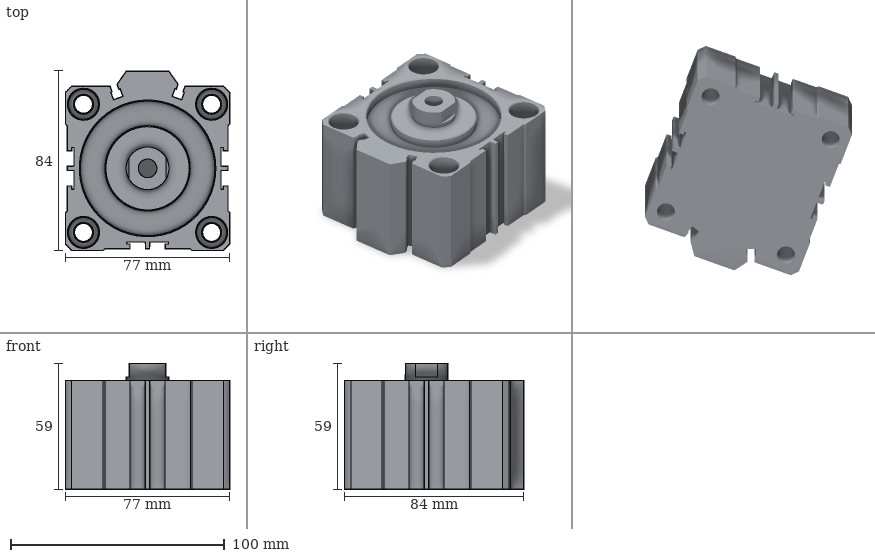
import cadquery as cq

housing_side = 77.0
housing_height = 51.0
corner_chamfer = 3.0
half_side = housing_side / 2

relief_depth = 0.8
relief_half_width = 20.0

slot_floor = 34.5
slot_half_width = 9.7
slot_mouth_half_width = 8.2
slot_lip_bottom = 35.4
rib_root_width = 2.2
rib_tip_width = 2.0

rail_top = 45.5
rail_top_half_width = 10.0
rail_base_half_width = 14.9

side_slot_tilt = 20.0
side_slot_floor_x = 13.75
side_slot_floor_y = 32.93
side_slot_width = 4.6
side_slot_undercut_height = 3.7
side_slot_mouth_width = 3.3
side_slot_cut_height = 8.0

mount_pitch = 60.0
mount_hole_diameter = 8.4
mount_bore_diameter = 14.0
mount_bore_depth = 10.0

recess_diameter = 63.0
recess_depth = 5.0
collar_diameter = 40.0
collar_top_drop = 0.5
edge_chamfer = 0.5

rod_diameter = 20.0
rod_projection = 8.0
rod_top = housing_height + rod_projection
rod_hole_diameter = 8.7
rod_hole_depth = 15.0
rod_solid_end = 5.0
rod_length = rod_hole_depth + rod_solid_end
rod_bottom = rod_top - rod_length
flat_width = 17.2
flat_length = 6.3


def cylinder(diameter, bottom, height):
    """Upright cylinder on the part's axis."""
    return cq.Workplane("XY").workplane(offset=bottom).circle(diameter / 2).extrude(height)


def top_chamfer_cone(diameter, top):
    """Cone that chamfers the upper edge of a hole of this diameter."""
    radius = diameter / 2
    return cq.Workplane(cq.Solid.makeCone(
        radius, radius + edge_chamfer, edge_chamfer, cq.Vector(0, 0, top - edge_chamfer)))


def face_slot():
    """Relief and ribbed T-slot to be cut from the -Y face."""
    relief_outer_half_width = relief_half_width + relief_depth
    relief = (
        cq.Workplane("XY")
        .polyline([
            (-relief_outer_half_width, -half_side),
            (relief_outer_half_width, -half_side),
            (relief_half_width, -half_side + relief_depth),
            (-relief_half_width, -half_side + relief_depth),
        ])
        .close()
        .extrude(housing_height)
    )
    mouth_depth = half_side - slot_floor
    mouth = (
        cq.Workplane("XY")
        .center(0, -half_side + mouth_depth / 2)
        .rect(2 * slot_mouth_half_width, mouth_depth)
        .extrude(housing_height)
    )
    undercut_depth = slot_lip_bottom - slot_floor
    undercut = (
        cq.Workplane("XY")
        .center(0, -slot_lip_bottom + undercut_depth / 2)
        .rect(2 * slot_half_width, undercut_depth)
        .extrude(housing_height)
    )
    rib_tip = half_side - relief_depth
    rib = (
        cq.Workplane("XY")
        .polyline([
            (-rib_root_width / 2, -slot_floor),
            (rib_root_width / 2, -slot_floor),
            (rib_tip_width / 2, -rib_tip),
            (-rib_tip_width / 2, -rib_tip),
        ])
        .close()
        .extrude(housing_height)
    )
    return mouth.union(undercut).cut(rib).union(relief)


def rail_side_slot():
    """Tilted T-slot on the -X side of the rail."""
    undercut = (
        cq.Workplane("XY")
        .center(0, side_slot_undercut_height / 2)
        .rect(side_slot_width, side_slot_undercut_height)
        .extrude(housing_height)
    )
    mouth = (
        cq.Workplane("XY")
        .center(0, side_slot_cut_height / 2)
        .rect(side_slot_mouth_width, side_slot_cut_height)
        .extrude(housing_height)
    )
    return (
        undercut.union(mouth)
        .rotate((0, 0, 0), (0, 0, 1), side_slot_tilt)
        .translate((-side_slot_floor_x, side_slot_floor_y, 0))
    )


def mounting_hole():
    """Through hole with a counterbore, both with a chamfered upper edge."""
    bore_bottom = housing_height - mount_bore_depth
    return (
        cylinder(mount_hole_diameter, 0, housing_height)
        .union(top_chamfer_cone(mount_hole_diameter, bore_bottom))
        .union(cylinder(mount_bore_diameter, bore_bottom, mount_bore_depth))
        .union(top_chamfer_cone(mount_bore_diameter, housing_height))
    )


def top_recess():
    """Ring-shaped recess left around the collar."""
    recess_floor = housing_height - recess_depth
    collar = (
        cylinder(collar_diameter, recess_floor, recess_depth - collar_top_drop)
        .faces(">Z")
        .chamfer(edge_chamfer)
    )
    return (
        cylinder(recess_diameter, recess_floor, recess_depth)
        .union(top_chamfer_cone(recess_diameter, housing_height))
        .cut(collar)
    )


def make_housing():
    body = (
        cq.Workplane("XY")
        .rect(housing_side, housing_side)
        .extrude(housing_height)
        .edges("|Z")
        .chamfer(corner_chamfer)
    )
    rail = (
        cq.Workplane("XY")
        .polyline([
            (-rail_base_half_width, half_side),
            (rail_base_half_width, half_side),
            (rail_top_half_width, rail_top),
            (-rail_top_half_width, rail_top),
        ])
        .close()
        .extrude(housing_height)
    )
    body = body.union(rail)

    for angle in (0, 90, -90):
        body = body.cut(face_slot().rotate((0, 0, 0), (0, 0, 1), angle))

    side_slot = rail_side_slot()
    body = body.cut(side_slot).cut(side_slot.mirror("YZ"))

    for x_sign in (-1, 1):
        for y_sign in (-1, 1):
            place = (x_sign * mount_pitch / 2, y_sign * mount_pitch / 2, 0)
            body = body.cut(mounting_hole().translate(place))

    rod_bore = cylinder(rod_diameter, rod_bottom, rod_length)
    return body.cut(top_recess()).cut(rod_bore)


def make_rod():
    rod = cylinder(rod_diameter, rod_bottom, rod_length)
    flatted_end = (
        cq.Workplane("XY")
        .workplane(offset=rod_top - flat_length)
        .rect(flat_width, rod_diameter)
        .extrude(flat_length)
    )
    shank = cylinder(rod_diameter, rod_bottom, rod_length - flat_length)
    hole = cylinder(rod_hole_diameter, rod_top - rod_hole_depth, rod_hole_depth)
    return rod.intersect(flatted_end.union(shank)).cut(hole)


housing = make_housing()
rod = make_rod()

result = cq.Compound.makeCompound([housing.val(), rod.val()])